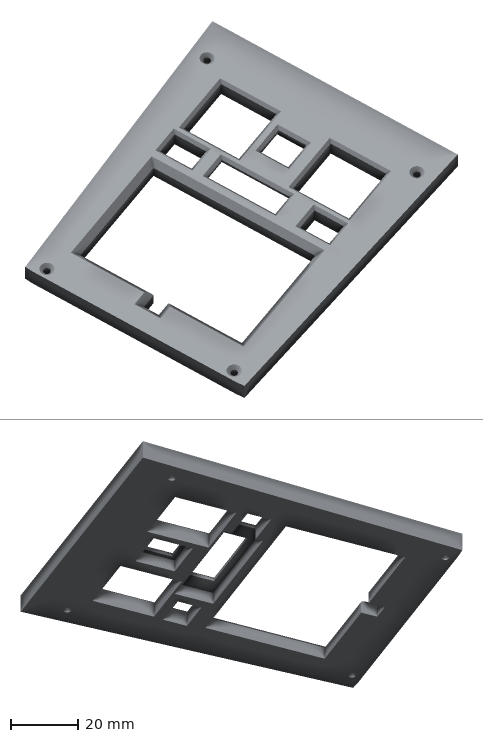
import cadquery as cq

length = 106.8
back_width = 88.3
front_width = 78.9
thickness = 6.0

front_flat_width = 73.3
front_end_setback = 0.2

center_square = (-6.6, 5.5, 20.8, 32.6)
center_slot = (-14.4, 12.0, 4.3, 14.0)
small_windows = [
    center_square,
    center_slot,
    (-30.3, -8.4, 15.2, 37.2),
    (9.1, 31.1, 15.2, 37.2),
    (-31.4, -18.1, 4.3, 14.0),
    (18.9, 31.4, 4.3, 14.0),
]
small_bevel = 1.0

pocket_depth = 4.0
square_pocket_margin = 0.5
slot_pocket_margin_x = 4.7
slot_pocket_margin_y = 1.4

large_half_width = 31.1
large_back = 1.8
large_front = -41.2
notch_half_width = 4.7
notch_front = -46.5
large_bevel = 2.0

screw_pairs = [(37.7, 41.1), (33.7, -50.2)]
screw_diameter = 2.2
countersink_diameter = 4.5
countersink_angle = 90.0


def make_plate():
    front = -length / 2
    back = length / 2
    right_side = [
        (front_flat_width / 2, front),
        (front_width / 2, front + front_end_setback),
        (back_width / 2, back),
    ]
    left_side = [(-x, y) for x, y in reversed(right_side)]
    return cq.Workplane("XY").polyline(right_side + left_side).close().extrude(thickness)


def box_between(left, right, front, back, height):
    """Box standing on the bottom face."""
    box = cq.Workplane("XY").box(right - left, back - front, height, centered=False)
    return box.translate((left, front, 0))


def beveled_cutter(left, right, front, back, bevel):
    """Through-cutter whose top rim is the rectangle, narrowing at 45 degrees to straight walls."""
    rim = (
        cq.Workplane("XY")
        .workplane(offset=thickness)
        .center((left + right) / 2, (front + back) / 2)
        .rect(right - left, back - front)
        .extrude(-bevel, taper=45)
    )
    walls = box_between(left + bevel, right - bevel, front + bevel, back - bevel, thickness)
    return walls.union(rim)


def back_pocket(window, margin_x, margin_y):
    """Pocket in the bottom face that surrounds a window and leaves a thin lip at the top."""
    left, right, front, back = window
    return box_between(left - margin_x, right + margin_x, front - margin_y, back + margin_y, pocket_depth)


plate = make_plate()

for window in small_windows:
    plate = plate.cut(beveled_cutter(*window, small_bevel))

plate = plate.cut(beveled_cutter(-large_half_width, large_half_width, large_front, large_back, large_bevel))
plate = plate.cut(beveled_cutter(-notch_half_width, notch_half_width, notch_front, large_back, large_bevel))

plate = plate.cut(back_pocket(center_square, square_pocket_margin, square_pocket_margin))
plate = plate.cut(back_pocket(center_slot, slot_pocket_margin_x, slot_pocket_margin_y))

screw_points = [(side * x, y) for x, y in screw_pairs for side in (-1, 1)]
result = (
    plate.faces(">Z")
    .workplane(origin=(0, 0, thickness))
    .pushPoints(screw_points)
    .cskHole(screw_diameter, countersink_diameter, countersink_angle)
)